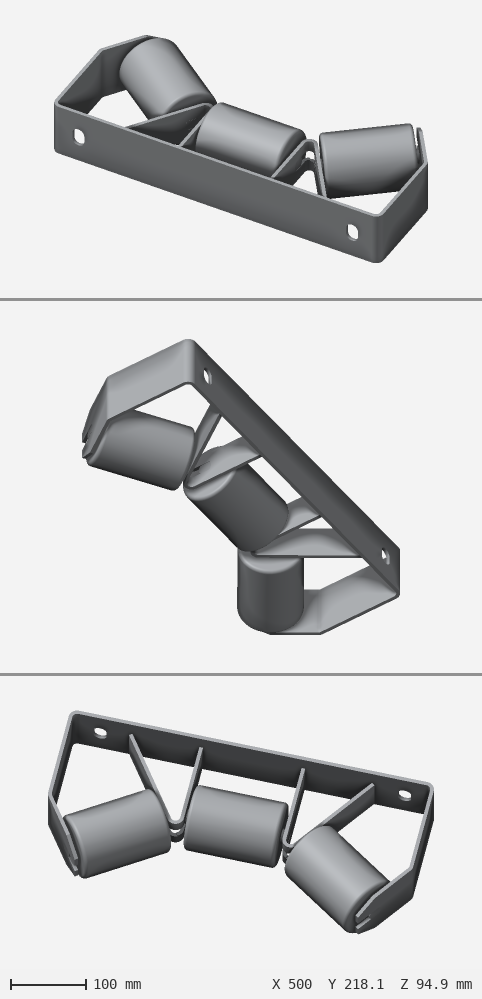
import cadquery as cq
import math

frame_width = 500.0
strip_height = 80.0
plate_thickness = 5.0
bend_radius = 11.5
splay_angle = 35.0
side_depth = 130.5
arm_length = 94.0
arm_chamfer_length = 30.0
arm_chamfer_height = 17.5

bracket_height = 50.0
bracket_bottom_z = 8.0
bracket_leg_x = 67.5
bracket_bend_y = 116.0
bracket_leg_length = 139.0

mount_slot_x = 208.5
mount_slot_z = 39.5
mount_slot_width = 18.0
mount_slot_length = 27.0

roller_diameter = 89.0
roller_length = 125.0
roller_fillet = 5.0
shaft_diameter = 20.0
shaft_flats = 15.0
shoulder_gap = 4.0
shaft_length = 144.0
slot_reach = 125.0

middle_roller_y = 99.0
middle_roller_z = 33.5
side_roller_lean = 33.5
side_roller_z = 35.5
side_roller_tilt = 3.0

half_width = frame_width / 2
inner_radius = bend_radius - plate_thickness
splay = math.radians(splay_angle)
splay_sin = math.sin(splay)
splay_cos = math.cos(splay)
bracket_bend_x = bracket_leg_x + bend_radius
arm_bend_x = half_width - bend_radius

bracket_face = bracket_bend_x * splay_cos + bracket_bend_y * splay_sin + bend_radius
arm_face = arm_bend_x * splay_cos + side_depth * splay_sin + inner_radius
side_roller_offset = (bracket_face + arm_face) / 2
side_roller_x = side_roller_offset * splay_cos - side_roller_lean * splay_sin
side_roller_y = side_roller_offset * splay_sin + side_roller_lean * splay_cos

shoulder_x = roller_length / 2 + shoulder_gap


def mirrored_pair(body):
    """The body on the -X side together with its mirror image on the +X side."""
    return [body, body.mirror("YZ")]


def on_arc(centre, radius, angle):
    """Point on a circle, with the angle in degrees from +X."""
    turn = math.radians(angle)
    return (centre[0] + radius * math.cos(turn), centre[1] + radius * math.sin(turn))


def along_splay(point, distance):
    """Point moved along the lean direction, positive towards +Y."""
    return (point[0] + distance * splay_sin, point[1] + distance * splay_cos)


def half_strip():
    """Left half of the bent strip: base, side plate and leaning end arm."""
    base_bend = (-half_width + bend_radius, bend_radius)
    arm_bend = (-arm_bend_x, side_depth)
    base_bend_middle = 180 + 45
    arm_start = 180 - splay_angle
    arm_middle = 180 - splay_angle / 2
    arm_outer = on_arc(arm_bend, bend_radius, arm_start)
    arm_inner = on_arc(arm_bend, inner_radius, arm_start)
    return (
        cq.Workplane("XY")
        .moveTo(0, 0)
        .lineTo(base_bend[0], 0)
        .threePointArc(on_arc(base_bend, bend_radius, base_bend_middle), (-half_width, bend_radius))
        .lineTo(-half_width, side_depth)
        .threePointArc(on_arc(arm_bend, bend_radius, arm_middle), arm_outer)
        .lineTo(*along_splay(arm_outer, arm_length))
        .lineTo(*along_splay(arm_inner, arm_length))
        .lineTo(*arm_inner)
        .threePointArc(
            on_arc(arm_bend, inner_radius, arm_middle),
            (-half_width + plate_thickness, side_depth),
        )
        .lineTo(-half_width + plate_thickness, bend_radius)
        .threePointArc(
            on_arc(base_bend, inner_radius, base_bend_middle),
            (base_bend[0], plate_thickness),
        )
        .lineTo(0, plate_thickness)
        .close()
        .extrude(strip_height)
        .cut(arm_tip_corners(along_splay(arm_outer, arm_length)))
    )


def arm_tip_corners(tip):
    """Wedges that cut the lower and upper corners off an arm tip."""
    lower = (
        cq.Workplane("YZ")
        .polyline([(0, 0), (-arm_chamfer_length, 0), (0, arm_chamfer_height)])
        .close()
        .extrude(2 * plate_thickness, both=True)
    )
    upper = lower.mirror("XY").translate((0, 0, strip_height))
    wedges = lower.union(upper).rotate((0, 0, 0), (0, 0, 1), -splay_angle)
    return wedges.translate((tip[0], tip[1], 0))


def bracket():
    """Left inner bracket: a straight leg bent over into a leaning leg."""
    bend = (-bracket_bend_x, bracket_bend_y)
    lean_start = 180 - splay_angle
    crown = lean_start / 2
    lean_outer = on_arc(bend, bend_radius, lean_start)
    lean_inner = on_arc(bend, inner_radius, lean_start)
    straight_inner_x = -bracket_leg_x - plate_thickness
    return (
        cq.Workplane("XY")
        .moveTo(-bracket_leg_x, plate_thickness)
        .lineTo(-bracket_leg_x, bracket_bend_y)
        .threePointArc(on_arc(bend, bend_radius, crown), lean_outer)
        .lineTo(*along_splay(lean_outer, -bracket_leg_length))
        .lineTo(*along_splay(lean_inner, -bracket_leg_length))
        .lineTo(*lean_inner)
        .threePointArc(
            on_arc(bend, inner_radius, crown),
            (straight_inner_x, bracket_bend_y),
        )
        .lineTo(straight_inner_x, plate_thickness)
        .close()
        .extrude(bracket_height)
        .translate((0, 0, bracket_bottom_z))
    )


def mount_slots():
    """Upright slots through the base for the fixing bolts."""
    return (
        cq.Workplane("XZ")
        .pushPoints([(-mount_slot_x, mount_slot_z), (mount_slot_x, mount_slot_z)])
        .slot2D(mount_slot_length, mount_slot_width, 90)
        .extrude(2 * plate_thickness, both=True)
    )


def bend_slot():
    """Opening through the left bracket bend that joins the slots of its two legs."""
    return cq.Workplane("XY").box(
        2 * bend_radius, slot_reach, shaft_flats, centered=(True, False, True)
    ).translate((-bracket_bend_x, bracket_bend_y, middle_roller_z))


def cylinder(diameter, length):
    """Cylinder along X, centred on the origin."""
    return cq.Workplane("YZ", origin=(-length / 2, 0, 0)).circle(diameter / 2).extrude(length)


def flatted_shaft():
    """Full-length shaft with an upper and a lower flat."""
    flats = cq.Workplane("XY").box(shaft_length, shaft_diameter, shaft_flats)
    return cylinder(shaft_diameter, shaft_length).intersect(flats)


def roller():
    """Roller drum with its round shaft shoulders and flatted shaft ends."""
    drum = (
        cylinder(roller_diameter, roller_length)
        .faces("<X or >X")
        .edges()
        .fillet(roller_fillet)
    )
    shoulders = cylinder(shaft_diameter, 2 * shoulder_x)
    return drum.union(shoulders).union(flatted_shaft())


def shaft_slots():
    """Slots for both shaft ends, rounded to the shaft at the bottom and open towards +Y."""
    slots = cq.Workplane("XY")
    slot_depth = shaft_length / 2 + plate_thickness - shoulder_x
    for side in (-1, 1):
        rounded = cylinder(shaft_diameter, slot_depth)
        straight = cq.Workplane("XY").box(
            slot_depth, slot_reach, shaft_diameter, centered=(True, False, True)
        )
        height_limit = cq.Workplane("XY").box(slot_depth, 2 * slot_reach, shaft_flats)
        slot = rounded.union(straight).intersect(height_limit)
        slots = slots.add(slot.translate((side * (shoulder_x + slot_depth / 2), 0, 0)))
    return slots.combine()


def at_middle(body):
    return body.translate((0, middle_roller_y, middle_roller_z))


def at_left(body):
    return (
        body.rotate((0, 0, 0), (0, 1, 0), side_roller_tilt)
        .rotate((0, 0, 0), (0, 0, 1), -splay_angle)
        .translate((-side_roller_x, side_roller_y, side_roller_z))
    )


def frame():
    """Strip and brackets welded together, with the middle roller fixed between the brackets."""
    body = cq.Workplane("XY")
    for half in mirrored_pair(half_strip()) + mirrored_pair(bracket()):
        body = body.union(half)
    body = body.cut(mount_slots()).cut(at_middle(shaft_slots()))
    for cutter in mirrored_pair(bend_slot()) + mirrored_pair(at_left(shaft_slots())):
        body = body.cut(cutter)
    return body.union(at_middle(roller()))


frame_with_middle_roller = frame()
side_rollers = mirrored_pair(at_left(roller()))

result = cq.Compound.makeCompound(
    [frame_with_middle_roller.val(), *[side_roller.val() for side_roller in side_rollers]]
)